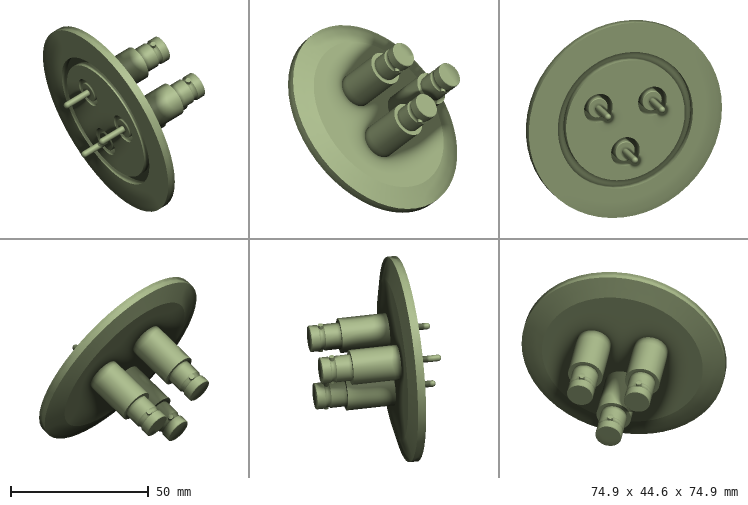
import cadquery as cq
import math


flange_radius = 37.465
flange_thickness = 5.1
rim_thickness = 3.0
bevel_angle = math.radians(15)
groove_outer_radius = 26.2
groove_inner_radius = 23.0
groove_depth = 2.6

feedthrough_count = 3
layout_radius = 12.1
first_angle = -90

tube_radius = 6.35
tube_end = 22.7
bore_radius = 5.55
bore_depth = 17.0
bore_cone_length = 0.8
bore_floor_radius = 3.95

insulator_radius = 3.75
insulator_recess = 0.1
insulator_edge = 0.25

pin_radius = 1.2
pin_tip = 10.8

total_length = 44.6
connector_radius = 4.8
connector_end = total_length - pin_tip
connector_edge = 0.2
lug_radius = 0.97
lug_reach = 5.65
lug_position = 29.65
neck_start = 28.5
neck_end = 30.6
neck_depth = 0.48


def revolved(profile):
    """Revolve a closed (radius, y) profile around the Y axis."""
    return profile.close().revolve(360, (0, 0, 0), (0, 1, 0))


def cylinder(radius, y_start, y_end):
    """Cylinder on the Y axis between two y positions."""
    return cq.Workplane("XZ", origin=(0, y_start, 0)).circle(radius).extrude(y_start - y_end)


def make_flange():
    bevel_width = (flange_thickness - rim_thickness) / math.tan(bevel_angle)
    body = revolved(
        cq.Workplane("XY")
        .lineTo(flange_radius, 0)
        .lineTo(flange_radius, rim_thickness)
        .lineTo(flange_radius - bevel_width, flange_thickness)
        .lineTo(0, flange_thickness)
    )
    groove = cylinder(groove_outer_radius, 0, groove_depth)
    groove = groove.cut(cylinder(groove_inner_radius, 0, groove_depth))
    return body.cut(groove)


def make_bore():
    """Bore open at the sealing face, narrowing in a cone to its floor around the insulator."""
    return revolved(
        cq.Workplane("XY")
        .lineTo(bore_radius, 0)
        .lineTo(bore_radius, bore_depth)
        .lineTo(bore_floor_radius, bore_depth + bore_cone_length)
        .lineTo(0, bore_depth + bore_cone_length)
    )


def make_insulator():
    insulator = cylinder(insulator_radius, insulator_recess, bore_depth + bore_cone_length)
    return insulator.faces("<Y").edges().fillet(insulator_edge)


def make_pin():
    """Pin from the insulator face, ending in a hemisphere."""
    tip_center = pin_radius - pin_tip
    diagonal = pin_radius * math.sqrt(0.5)
    return revolved(
        cq.Workplane("XY")
        .moveTo(0, -pin_tip)
        .threePointArc((diagonal, tip_center - diagonal), (pin_radius, tip_center))
        .lineTo(pin_radius, bore_depth)
        .lineTo(0, bore_depth)
    )


def make_connector():
    """Bayonet barrel with a rounded neck and two opposite lugs."""
    neck_middle = (neck_start + neck_end) / 2
    barrel = revolved(
        cq.Workplane("XY")
        .moveTo(0, tube_end)
        .lineTo(connector_radius, tube_end)
        .lineTo(connector_radius, neck_start)
        .threePointArc((connector_radius - neck_depth, neck_middle), (connector_radius, neck_end))
        .lineTo(connector_radius, connector_end)
        .lineTo(0, connector_end)
    )
    barrel = barrel.faces(">Y").edges().chamfer(connector_edge)
    lugs = (
        cq.Workplane("XY")
        .center(0, lug_position)
        .circle(lug_radius)
        .extrude(lug_reach, both=True)
    )
    return barrel.union(lugs)


def layout_positions():
    step = 360 / feedthrough_count
    angles = [math.radians(first_angle + step * index) for index in range(feedthrough_count)]
    return [(layout_radius * math.cos(a), 0, layout_radius * math.sin(a)) for a in angles]


tube = cylinder(tube_radius, 0, tube_end)
bore = make_bore()
inner_parts = make_insulator().union(make_pin())
connector = make_connector()

result = make_flange()
for position in layout_positions():
    result = result.union(tube.translate(position))
    result = result.cut(bore.translate(position))
    result = result.union(inner_parts.translate(position))
    result = result.union(connector.translate(position))